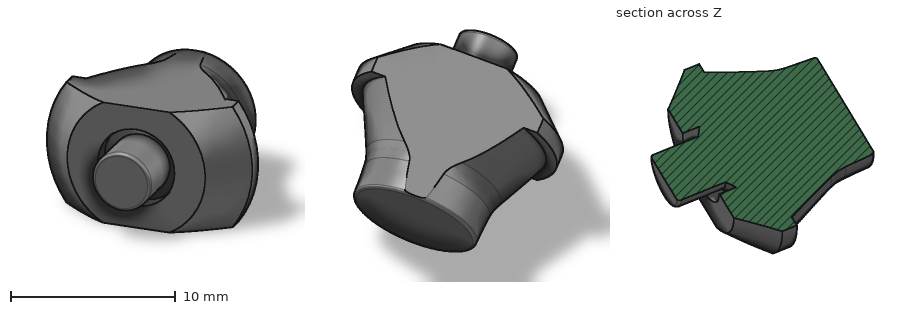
import cadquery as cq
import math


flange_radius = 6.7
front_chamfer = 2.2
flange_thickness = 1.0
flange_back = front_chamfer + flange_thickness

body_length = 9.8
neck_base_radius = 6.0
neck_angle = math.radians(25)
collar_end_radius = 4.0
collar_angle = math.radians(3)
neck_blend_radius = 3.0
collar_edge_radius = 0.2

flat_height = 7.9
slab_margin = 1.0

pin_radius = 1.9
pin_length = 2.5
pin_edge_radius = 0.2
recess_radius = 2.5
recess_depth = 1.12
recess_floor_angle = math.radians(32.5)


def revolve_about_y(profile):
    """Turn a half profile drawn in the YZ plane (local x = Y, local y = radius)."""
    return profile.close().revolve(360, (0, 0), (1, 0))


def edges_at(solid, y):
    """Edges of the solid that lie wholly at the given Y."""
    tolerance = 0.01
    reach = 2 * flange_radius
    return solid.edges(
        cq.selectors.BoxSelector(
            (-reach, y - tolerance, -reach),
            (reach, y + tolerance, reach),
        )
    )


def make_body():
    neck_slope = math.tan(neck_angle)
    collar_slope = math.tan(collar_angle)
    neck_radius_at_front = neck_base_radius + flange_back * neck_slope
    collar_radius_at_front = collar_end_radius + body_length * collar_slope
    meeting_y = (neck_radius_at_front - collar_radius_at_front) / (neck_slope - collar_slope)
    meeting_radius = collar_radius_at_front - meeting_y * collar_slope

    profile = (
        cq.Workplane("YZ")
        .lineTo(0, flange_radius - front_chamfer)
        .lineTo(front_chamfer, flange_radius)
        .lineTo(flange_back, flange_radius)
        .lineTo(flange_back, neck_base_radius)
        .lineTo(meeting_y, meeting_radius)
        .lineTo(body_length, collar_end_radius)
        .lineTo(body_length, 0)
    )
    body = revolve_about_y(profile)
    body = edges_at(body, meeting_y).fillet(neck_blend_radius)
    return edges_at(body, body_length).fillet(collar_edge_radius)


def make_recess():
    floor_drop = (recess_radius - pin_radius) * math.tan(recess_floor_angle)
    profile = (
        cq.Workplane("YZ")
        .moveTo(0, pin_radius)
        .lineTo(0, recess_radius)
        .lineTo(recess_depth, recess_radius)
        .lineTo(recess_depth - floor_drop, pin_radius)
    )
    return revolve_about_y(profile)


def make_pin():
    profile = (
        cq.Workplane("YZ")
        .lineTo(0, pin_radius)
        .lineTo(-pin_length, pin_radius)
        .lineTo(-pin_length, 0)
    )
    pin = revolve_about_y(profile)
    return edges_at(pin, -pin_length).fillet(pin_edge_radius)


def cut_flats(solid):
    overall_length = pin_length + body_length
    slab = cq.Workplane("XY").box(2 * flange_radius + slab_margin, 2 * overall_length, flat_height)
    return solid.intersect(slab)


result = cut_flats(make_body()).cut(make_recess()).union(make_pin())